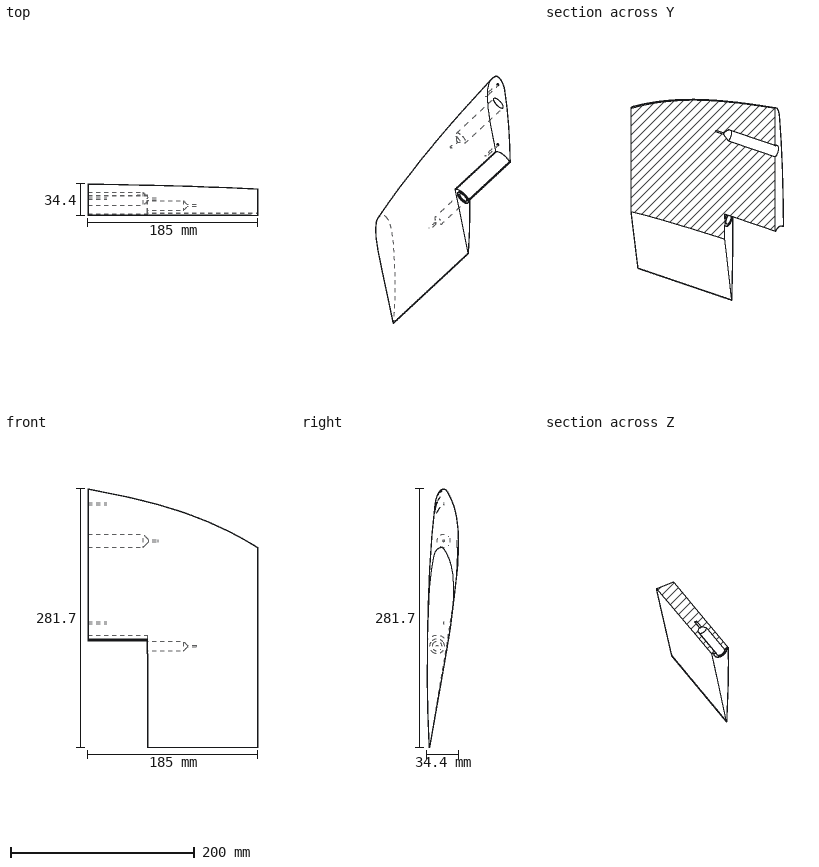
import cadquery as cq
import math

SPAN = 185.0
ROOT_CHORD = 281.69
STATIONS = 6

DROP_LINEAR = 0.185
DROP_SQUARE = 0.0002
DROP_CUBIC = 3.6e-6

TRAILING_Y = -15.5
TRAILING_THICKNESS = 0.7
NOSE_HEIGHT = 15.5
THICKNESS_TAPER = 0.75
BACK_POINTS = [(0.02, 21.2), (0.07, 27.1), (0.21, 31.9), (0.4, 27.7), (0.7, 14.0)]
NOSE_POINTS = [(0.06, 0.6), (0.22, 0.37), (0.64, 0.13)]
ROOT_SEAM = 0.316
SEAM_SHIFT = 0.5
SEAM_SLOPE = 0.045
BELLY = 2.26
BELLY_PLACE = 0.75

HINGE_Y = -7.2
HINGE_Z = 110.4
NOTCH_LENGTH = 65.0
NOTCH_TOP_FRONT = 118.0
NOTCH_TOP_BACK = 116.2
NOTCH_FRONT_Y = -17.0
NOTCH_BACK_Y = 4.0
HINGE_CLEARANCE_RADIUS = 11.9
BOSS_DIAMETER = 16.0
BOSS_HEIGHT = 1.0

HINGE_BORE_DIAMETER = 10.4
HINGE_BORE_DEPTH = 40.0
SPAR_BORE_DIAMETER = 14.3
SPAR_BORE_DEPTH = 60.0
SPAR_Z = 225.2
PILOT_DIAMETER = 2.0
PILOT_DEPTH = 10.0
POINT_ANGLE = 90.0
PIN_DIAMETER = 2.0
PIN_DEPTH = 20.0
PIN_Y = 0.4
PIN_HEIGHTS = (135.6, 265.5)

MARGIN = 50.0


def leading_edge_drop(x):
    return x * (DROP_LINEAR + DROP_SQUARE * x + DROP_CUBIC * x ** 2)


def section(x):
    """Closed blade section at spanwise position x."""
    chord = ROOT_CHORD - leading_edge_drop(x)
    chord_loss = 1 - chord / ROOT_CHORD
    scale = 1 - THICKNESS_TAPER * chord_loss
    seam = ROOT_SEAM - SEAM_SHIFT * chord_loss

    def point(fraction, height):
        return cq.Vector(x, TRAILING_Y + height, chord * (1 - fraction))

    nose = point(0, NOSE_HEIGHT * scale)
    seam_point = point(seam, 0)
    back_end = point(1, TRAILING_THICKNESS / 2)
    front_end = point(1, -TRAILING_THICKNESS / 2)
    seam_tangent = cq.Vector(0, -SEAM_SLOPE, -1).normalized()

    back = [nose] + [point(f, h * scale) for f, h in BACK_POINTS] + [back_end]
    front_nose = [nose]
    for way, left in NOSE_POINTS:
        front_nose.append(point(way * seam, left * NOSE_HEIGHT * scale))
    front_nose.append(seam_point)
    belly = point(BELLY_PLACE, -BELLY)
    back_tangent = (back[-1] - back[-2]).normalized()

    edges = [
        cq.Edge.makeSpline(front_nose, [cq.Vector(0, -1, 0), seam_tangent], scale=False),
        cq.Edge.makeSpline([seam_point, belly, front_end]),
        cq.Edge.makeLine(front_end, back_end),
        cq.Edge.makeSpline(back, [cq.Vector(0, 1, 0), back_tangent], scale=False),
    ]
    return cq.Wire.assembleEdges(edges)


def blade():
    sections = [section(SPAN * i / (STATIONS - 1)) for i in range(STATIONS)]
    return cq.Workplane(cq.Solid.makeLoft(sections))


def cylinder(x, y, z, diameter, length):
    """Cylinder along +X starting at (x, y, z)."""
    return cq.Workplane("YZ", origin=(x, y, z)).circle(diameter / 2).extrude(length)


def notch():
    slope = (NOTCH_TOP_BACK - NOTCH_TOP_FRONT) / (NOTCH_BACK_Y - NOTCH_FRONT_Y)
    front_y = NOTCH_FRONT_Y - MARGIN
    back_y = NOTCH_BACK_Y + MARGIN
    outline = [
        (front_y, -MARGIN),
        (back_y, -MARGIN),
        (back_y, NOTCH_TOP_BACK + slope * MARGIN),
        (front_y, NOTCH_TOP_FRONT - slope * MARGIN),
    ]
    block = cq.Workplane("YZ", origin=(-MARGIN, 0, 0)).polyline(outline).close()
    block = block.extrude(MARGIN + NOTCH_LENGTH)
    clearance = cylinder(
        -MARGIN, HINGE_Y, HINGE_Z, 2 * HINGE_CLEARANCE_RADIUS, MARGIN + NOTCH_LENGTH
    )
    return block.union(clearance)


def bore(x, y, z, diameter, depth):
    """Blind bore along +X with a conical bottom and a pilot hole at its tip."""
    radius = diameter / 2
    pilot_radius = PILOT_DIAMETER / 2
    cone_length = (radius - pilot_radius) / math.tan(math.radians(POINT_ANGLE / 2))
    profile = [
        (0, 0),
        (0, radius),
        (depth, radius),
        (depth + cone_length, pilot_radius),
        (depth + cone_length + PILOT_DEPTH, pilot_radius),
        (depth + cone_length + PILOT_DEPTH, 0),
    ]
    outline = cq.Workplane("XY", origin=(x, y, z)).polyline(profile).close()
    return outline.revolve(360, (0, 0, 0), (1, 0, 0))


hinge_face = NOTCH_LENGTH - BOSS_HEIGHT
result = blade().cut(notch())
result = result.union(cylinder(hinge_face, HINGE_Y, HINGE_Z, BOSS_DIAMETER, 2 * BOSS_HEIGHT))
result = result.cut(bore(hinge_face, HINGE_Y, HINGE_Z, HINGE_BORE_DIAMETER, HINGE_BORE_DEPTH))
result = result.cut(bore(0, 0, SPAR_Z, SPAR_BORE_DIAMETER, SPAR_BORE_DEPTH))
for pin_z in PIN_HEIGHTS:
    result = result.cut(cylinder(0, PIN_Y, pin_z, PIN_DIAMETER, PIN_DEPTH))